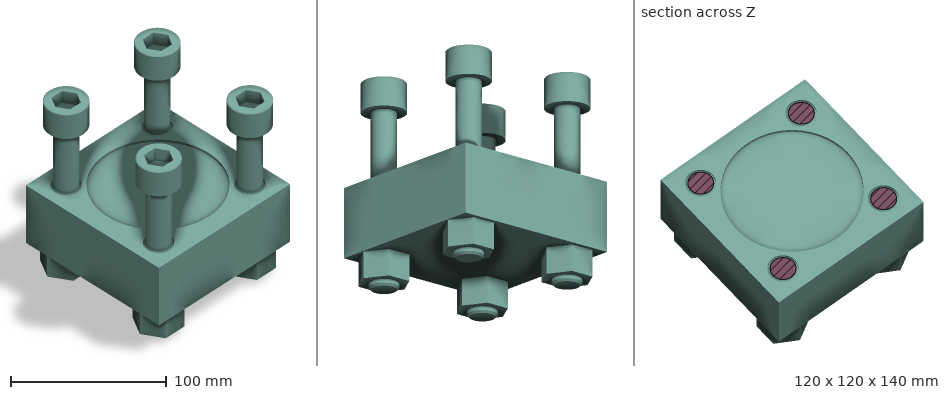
import cadquery as cq
import math

block_side = 120.0
block_height = 47.6
recess_diameter = 92.0
recess_depth = 2.0

overall_height = 140.0
screw_pitch = 83.5
head_diameter = 30.0
head_height = 20.0
head_chamfer = 0.5
socket_across_flats = 17.0
socket_depth = 10.0
shank_diameter = 17.0
thread_diameter = 20.0
thread_chamfer = (thread_diameter - shank_diameter) / 2

nut_across_flats = 30.0
nut_height = 18.0
screw_end_below_nut = 4.0

screw_bottom = -(nut_height + screw_end_below_nut)
screw_top = screw_bottom + overall_height
head_bottom = screw_top - head_height


def hexagon_prism(across_flats, bottom, height):
    """Upright hexagonal prism with two flats facing +X and -X."""
    across_corners = across_flats / math.cos(math.radians(30))
    prism = cq.Workplane("XY").workplane(offset=bottom).polygon(6, across_corners).extrude(height)
    return prism.rotate((0, 0, 0), (0, 0, 1), 90)


def cylinder(diameter, bottom, top):
    return cq.Workplane("XY").workplane(offset=bottom).circle(diameter / 2).extrude(top - bottom)


def make_block():
    block = cq.Workplane("XY").box(block_side, block_side, block_height, centered=(True, True, False))
    return block.cut(cylinder(recess_diameter, block_height - recess_depth, block_height))


def make_screw():
    """Socket head screw whose thread is thicker than its shank."""
    head = cylinder(head_diameter, head_bottom, screw_top).faces(">Z").edges().chamfer(head_chamfer)
    head = head.cut(hexagon_prism(socket_across_flats, screw_top - socket_depth, socket_depth))
    shank = cylinder(shank_diameter, 0, head_bottom)
    thread = cylinder(thread_diameter, screw_bottom, block_height).edges().chamfer(thread_chamfer)
    return head.union(shank).union(thread)


def make_nut():
    return hexagon_prism(nut_across_flats, -nut_height, nut_height)


screw_hole = cylinder(thread_diameter, 0, block_height)
fastener = make_screw().union(make_nut())

result = make_block()
for x_side in (-1, 1):
    for y_side in (-1, 1):
        position = (x_side * screw_pitch / 2, y_side * screw_pitch / 2, 0)
        result = result.cut(screw_hole.translate(position))
        result = result.union(fastener.translate(position))